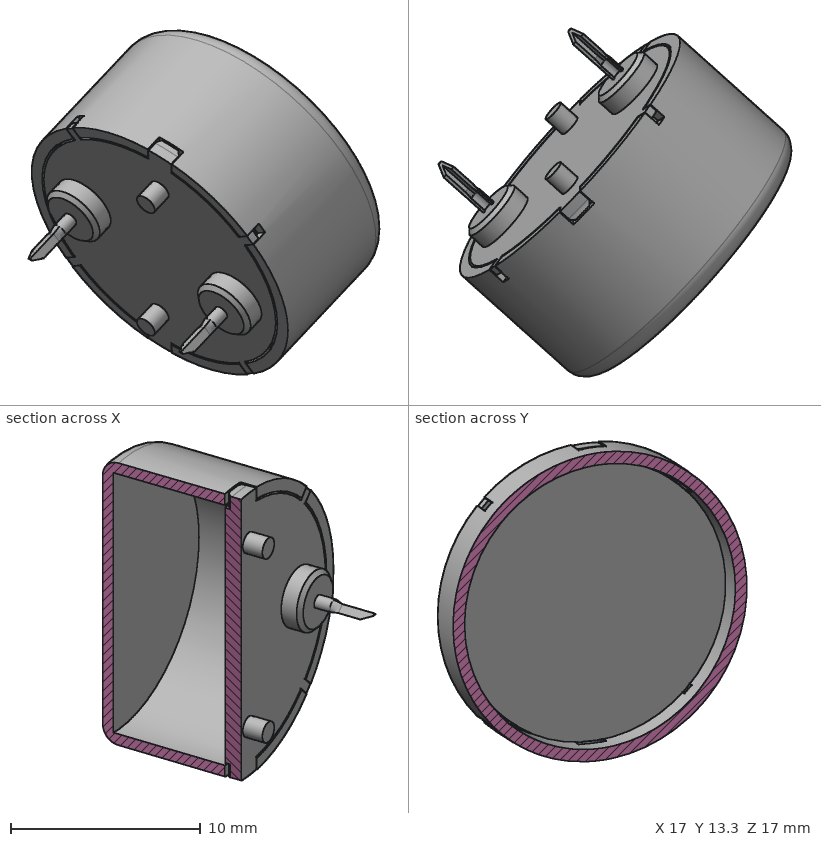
import cadquery as cq
import math


cap_diameter = 17.0
cap_height = 8.6
cap_edge_radius = 1.0
wall = 0.7
slot_depth = 1.0
tab_slot_width = 1.6
spoke_slot_width = 0.6

disc_clearance = 0.12
rim_clearance = 0.05
tab_clearance = 0.05
spoke_clearance = 0.02
tab_end_gap = 0.1
tab_corner_chamfer = 0.2
tab_flare_length = 0.3
spoke_thickness = 0.5
spoke_angles = (45, 135, 225, 315)

boss_height = 1.2
collar_diameter = 3.5
collar_chamfer = 0.25
pin_spacing = 10.0
post_diameter = 1.19
post_spacing = 11.0

pin_length = 4.7
pin_width = 0.8
strip_thickness = 0.14
arch_overrun = 27.0
arch_end = 2.18
fold_start = 2.69
fold_angle = 43.0
fold_apex = 0.3
point_length = 0.63
point_width = 0.24

cap_radius = cap_diameter / 2
bore_radius = cap_radius - wall
disc_radius = bore_radius - disc_clearance
rim_radius = cap_radius - rim_clearance
tab_length = slot_depth - tab_end_gap
tab_width = tab_slot_width - 2 * tab_clearance
spoke_width = spoke_slot_width - 2 * spoke_clearance
fold_slope = math.tan(math.radians(fold_angle))
leg_end = fold_apex - pin_width / 2 * fold_slope


def cross_bar(width, depth):
    """Bar along the full Z diameter, rising from the mouth plane."""
    return cq.Workplane("XY").box(width, depth, cap_diameter, centered=(True, False, True))


def cylinder_y(diameter, y_start, y_end):
    """Cylinder on the Y axis between two Y positions."""
    disc = cq.Workplane("XZ", origin=(0, y_start, 0)).circle(diameter / 2)
    return disc.extrude(y_start - y_end)


def spoke_bars(width, depth):
    """Radial bars at the spoke angles, rising from the mouth plane."""
    bars = cq.Workplane("XY")
    bar = cq.Workplane("XY").box(cap_radius, depth, width, centered=(False, False, True))
    for angle in spoke_angles:
        bars = bars.add(bar.rotate((0, 0, 0), (0, 1, 0), angle))
    return bars.combine()


def make_cap():
    """Hollow cup with a rounded closed end and slots in its mouth."""
    cap = cylinder_y(cap_diameter, 0, cap_height)
    cap = cap.faces(">Y").edges().fillet(cap_edge_radius)
    cap = cap.cut(cylinder_y(2 * bore_radius, 0, cap_height - wall))
    return cap.cut(cross_bar(tab_slot_width, slot_depth)).cut(spoke_bars(spoke_slot_width, slot_depth))


def make_tabs():
    """Two opposite tabs in one bar, with chamfered corners and a rim that flares up to the cap."""
    rim_profile = (
        cq.Workplane("XY")
        .moveTo(0, 0)
        .lineTo(rim_radius, 0)
        .lineTo(rim_radius, tab_length - tab_flare_length)
        .tangentArcPoint((cap_radius, tab_length), relative=False)
        .lineTo(0, tab_length)
        .close()
    )
    rim = rim_profile.revolve(360, (0, 0, 0), (0, 1, 0))
    bar = cross_bar(tab_width, tab_length)
    bar = bar.faces(">Y").edges("|Z").chamfer(tab_corner_chamfer)
    return rim.intersect(bar)


def make_spokes():
    """Four radial keys that fill the outer part of the narrow slots."""
    rim = cylinder_y(2 * rim_radius, 0, spoke_thickness)
    return rim.intersect(spoke_bars(spoke_width, spoke_thickness))


def make_collar():
    """Chamfered round boss around one pin."""
    collar = cylinder_y(collar_diameter, 0, -boss_height)
    return collar.faces("<Y").edges().chamfer(collar_chamfer)


def arch_wire(y):
    """Arched strip section at a given Y, split at the crown."""
    outer = pin_width / 2
    inner = outer - strip_thickness

    def at(radius, angle):
        return radius * math.cos(math.radians(angle)), radius * math.sin(math.radians(angle))

    right_end = -arch_overrun
    left_end = 180 + arch_overrun
    right_middle = (right_end + 90) / 2
    left_middle = (left_end + 90) / 2
    section = (
        cq.Workplane("XZ", origin=(0, y, 0))
        .moveTo(*at(outer, left_end))
        .threePointArc(at(outer, left_middle), at(outer, 90))
        .threePointArc(at(outer, right_middle), at(outer, right_end))
        .lineTo(*at(inner, right_end))
        .threePointArc(at(inner, right_middle), at(inner, 90))
        .threePointArc(at(inner, left_middle), at(inner, left_end))
        .close()
    )
    return section.val()


def fold_wire(y):
    """V-folded strip section at a given Y, with its leg ends cut level."""
    half_width = pin_width / 2
    inner_apex = fold_apex - strip_thickness / math.cos(math.radians(fold_angle))
    inner_half_width = (inner_apex - leg_end) / fold_slope
    section = (
        cq.Workplane("XZ", origin=(0, y, 0))
        .moveTo(-half_width, leg_end)
        .lineTo(0, fold_apex)
        .lineTo(half_width, leg_end)
        .lineTo(inner_half_width, leg_end)
        .lineTo(0, inner_apex)
        .lineTo(-inner_half_width, leg_end)
        .close()
    )
    return section.val()


def point_wedge():
    """Wedge below the sloping cut that points the blade."""
    tip_bottom = fold_apex - point_width / 2 * fold_slope
    profile = (
        cq.Workplane("YZ")
        .moveTo(point_length - pin_length, leg_end)
        .lineTo(-pin_length, tip_bottom)
        .lineTo(-pin_length, leg_end)
        .close()
    )
    return profile.extrude(pin_width, both=True)


def make_pin():
    """Bent strip with an arched root, a transition and a pointed V blade."""
    root_wire = arch_wire(-boss_height)
    root = cq.Solid.extrudeLinear(root_wire, [], cq.Vector(0, boss_height - arch_end, 0))
    transition = cq.Solid.makeLoft([arch_wire(-arch_end), fold_wire(-fold_start)], True)
    blade = cq.Solid.extrudeLinear(
        fold_wire(-fold_start), [], cq.Vector(0, fold_start - pin_length, 0)
    )
    tip = cq.Workplane(blade).cut(point_wedge())
    return cq.Workplane(root).union(cq.Workplane(transition)).union(tip)


def make_base():
    """Base with its collars, posts and pins as one piece."""
    base = cylinder_y(2 * disc_radius, 0, slot_depth)
    base = base.union(make_tabs()).union(make_spokes())
    terminal = make_collar().union(make_pin())
    post = cylinder_y(post_diameter, 0, -boss_height)
    for side in (-1, 1):
        base = base.union(terminal.translate((side * pin_spacing / 2, 0, 0)))
        base = base.union(post.translate((0, 0, side * post_spacing / 2)))
    return base


cap = make_cap()
base = make_base()

result = cq.Compound.makeCompound([cap.solids().val(), base.solids().val()])